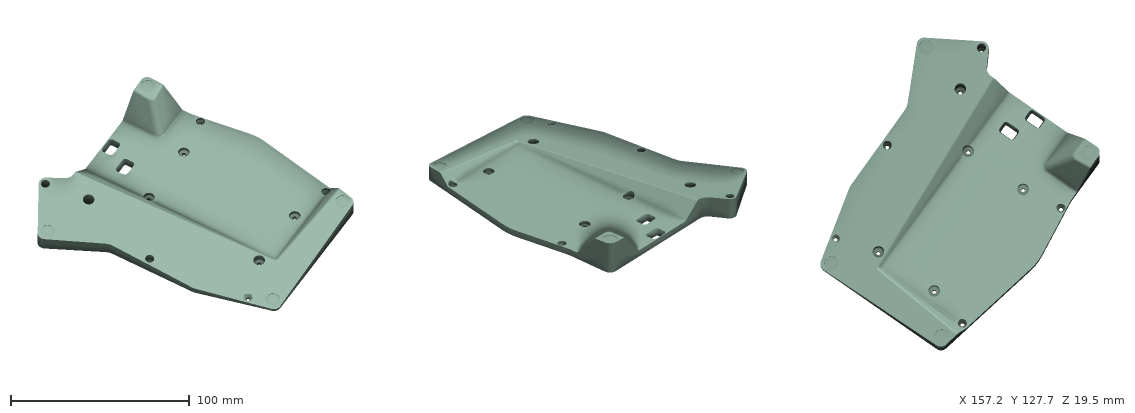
import cadquery as cq
import math

TOP_AT_ORIGIN = 9.9
SLOPE_X = -0.07
SLOPE_Y = 0.088
BLANK_HEIGHT = 31.5
OVERSHOOT = 15.7

LEFT_EDGE = 14.0
BACK_EDGE = 122.5
RIGHT_EDGE = 157.2
FRONT_EDGE = 17.0
CORNER_RADIUS = 4.1
BEND_RADIUS = 9.9
INNER_RADIUS = 6.0
CREST_RADIUS = 31.5
OUTLINE = [
    (LEFT_EDGE, BACK_EDGE, CORNER_RADIUS),
    (44.5, BACK_EDGE, CREST_RADIUS),
    (84.5, 128.1, CREST_RADIUS),
    (RIGHT_EDGE, 113.8, CORNER_RADIUS),
    (RIGHT_EDGE, 29.2, CORNER_RADIUS),
    (109.9, FRONT_EDGE, BEND_RADIUS),
    (54.7, FRONT_EDGE, BEND_RADIUS),
    (18.7, -1.3, CORNER_RADIUS),
    (-1.5, 33.6, CORNER_RADIUS),
    (LEFT_EDGE, 42.3, INNER_RADIUS),
]

FLOOR_Z = 4.1
WALL_DRAFT = 45
TILT_X = math.degrees(math.atan(SLOPE_X))
TILT_Y = math.degrees(math.atan(SLOPE_Y))
FRONT_WALL_Y = 58.2
RIGHT_WALL_X = 138.5
POST_WALL_X = 38.8
POST_WALL_Y = 98.2
POST_EDGE_RADIUS = 4.7
POCKET_CORNER_RADIUS = 2.0
EDGE_RADIUS = 1.9

SCREW_DIAMETER = 2.2
COUNTERBORE_DIAMETER = 6.5
COUNTERBORE_SEAT_Z = 2.0
COUNTERBORED = [(55.0, 97.0), (131.5, 90.4), (55.0, 59.3), (131.5, 52.0), (29.7, 35.8)]
COUNTERSINK_DIAMETER = 5.0
COUNTERSINK_TOP_Z = 2.5
COUNTERSUNK = [(51.5, 120.5), (137.7, 114.1), (3.8, 31.9), (78.9, 20.6), (139.0, 27.8)]

SEAT_DIAMETER = 8.2
SEAT_DEPTH = 0.3
SEATS = [(19.3, 116.8), (151.4, 109.5), (151.5, 34.0), (20.9, 6.0)]

WINDOW_TOP = (7.4, 10.2)
WINDOW_BOTTOM = (5.2, 8.2)
WINDOW_RADIUS_TOP = 1.9
WINDOW_RADIUS_BOTTOM = 1.0
WINDOWS = [(18.2, 78.9), (32.2, 71.0)]


def top_z(x, y):
    return TOP_AT_ORIGIN + SLOPE_X * x + SLOPE_Y * y


def top_plane(x, y):
    return cq.Plane(origin=(x, y, top_z(x, y)), xDir=(1, 0, SLOPE_X), normal=(-SLOPE_X, -SLOPE_Y, 1))


def toward(start, end, distance):
    """Point at a distance from start along the line to end."""
    ratio = distance / math.dist(start, end)
    return tuple(a + (b - a) * ratio for a, b in zip(start, end))


def rounded_outline(corners):
    """Closed polygon whose corners are replaced by tangent arcs."""
    arcs = []
    for i, (x, y, radius) in enumerate(corners):
        corner = (x, y)
        before = corners[i - 1][:2]
        after = corners[(i + 1) % len(corners)][:2]
        heading_in = math.atan2(y - before[1], x - before[0])
        heading_out = math.atan2(after[1] - y, after[0] - x)
        half_turn = abs(math.remainder(heading_out - heading_in, 2 * math.pi)) / 2
        tangent = radius * math.tan(half_turn)
        start = toward(corner, before, tangent)
        end = toward(corner, after, tangent)
        chord_middle = ((start[0] + end[0]) / 2, (start[1] + end[1]) / 2)
        middle = toward(corner, chord_middle, radius / math.cos(half_turn) - radius)
        arcs.append((start, middle, end))
    sketch = cq.Workplane("XY").moveTo(*arcs[0][0])
    for i, (start, middle, end) in enumerate(arcs):
        if i > 0:
            sketch = sketch.lineTo(*start)
        sketch = sketch.threePointArc(middle, end)
    return sketch.close()


def make_plate():
    plate = rounded_outline(OUTLINE).extrude(BLANK_HEIGHT)
    reach = 4 * RIGHT_EDGE
    above = cq.Workplane(top_plane(0, 0)).rect(reach, reach).extrude(reach)
    return plate.cut(above)


def wall_run(angle):
    """Horizontal run of a wall rising from the pocket floor over the blank height."""
    return BLANK_HEIGHT / math.tan(math.radians(angle))


def wedge(plane, near, far, run, length):
    """Prism above the floor, from 'near' to 'far', whose far side leans outward by 'run'."""
    top = FLOOR_Z + BLANK_HEIGHT
    points = [(near, FLOOR_Z), (far, FLOOR_Z), (far + run, top), (near, top)]
    return cq.Workplane(plane).polyline(points).close().extrude(length)


def make_pocket():
    beyond_left = LEFT_EDGE - OVERSHOOT
    beyond_back = BACK_EDGE + OVERSHOOT
    length = 2 * RIGHT_EDGE
    front_run = -wall_run(WALL_DRAFT - TILT_Y)
    right_run = wall_run(WALL_DRAFT + TILT_X)
    pocket = wedge("YZ", beyond_back, FRONT_WALL_Y, front_run, length).translate((beyond_left, 0, 0))
    pocket = pocket.intersect(wedge("XZ", beyond_left, RIGHT_WALL_X, right_run, -length))
    pocket_corner = cq.selectors.NearestToPointSelector(
        (RIGHT_WALL_X + right_run / 2, FRONT_WALL_Y + front_run / 2, FLOOR_Z + BLANK_HEIGHT / 2))
    pocket = pocket.edges(pocket_corner).fillet(POCKET_CORNER_RADIUS)

    post_run_x = -wall_run(WALL_DRAFT - TILT_X)
    post_run_y = wall_run(WALL_DRAFT + TILT_Y)
    post = wedge("YZ", beyond_back + OVERSHOOT, POST_WALL_Y, post_run_y, length)
    post = post.translate((beyond_left - OVERSHOOT, 0, 0))
    post = post.intersect(wedge("XZ", beyond_left - OVERSHOOT, POST_WALL_X, post_run_x, -length))
    post_corner = cq.selectors.NearestToPointSelector(
        (POST_WALL_X + post_run_x / 2, POST_WALL_Y + post_run_y / 2, FLOOR_Z + BLANK_HEIGHT / 2))
    post = post.edges(post_corner).fillet(POST_EDGE_RADIUS)
    return pocket.cut(post)


def pocket_edges(body):
    """Edges where the drafted walls meet the floor and the top plane."""
    top_normal = top_plane(0, 0).zDir
    flats = []
    walls = []
    for face in body.faces().vals():
        normal = face.normalAt()
        is_floor = normal.z > 0.999
        is_top = normal.dot(top_normal) > 0.999
        if is_floor or is_top:
            flats.append(face)
        elif 0.1 < normal.z < 0.99:
            walls.append(face)
    wall_edges = {edge.hashCode() for face in walls for edge in face.Edges()}
    return [edge for face in flats for edge in face.Edges() if edge.hashCode() in wall_edges]


def drill(body, points, diameter, bottom_z):
    cutter = cq.Workplane("XY", origin=(0, 0, bottom_z)).pushPoints(points)
    return body.cut(cutter.circle(diameter / 2).extrude(BLANK_HEIGHT))


def countersink(body):
    height = (COUNTERSINK_DIAMETER - SCREW_DIAMETER) / 2
    for x, y in COUNTERSUNK:
        base = cq.Vector(x, y, COUNTERSINK_TOP_Z - height)
        cone = cq.Solid.makeCone(SCREW_DIAMETER / 2, COUNTERSINK_DIAMETER / 2, height, base)
        body = body.cut(cq.Workplane(cone))
    return drill(body, COUNTERSUNK, COUNTERSINK_DIAMETER, COUNTERSINK_TOP_Z)


def cut_seats(body):
    for x, y in SEATS:
        seat = cq.Workplane(top_plane(x, y)).circle(SEAT_DIAMETER / 2).extrude(-SEAT_DEPTH)
        body = body.cut(seat)
    return body


def cut_windows(body):
    lower = cq.Sketch().rect(*WINDOW_BOTTOM).vertices().fillet(WINDOW_RADIUS_BOTTOM)
    upper = cq.Sketch().rect(*WINDOW_TOP).vertices().fillet(WINDOW_RADIUS_TOP)
    window = cq.Workplane("XY").placeSketch(lower, upper.moved(cq.Location(cq.Vector(0, 0, FLOOR_Z)))).loft()
    for x, y in WINDOWS:
        body = body.cut(window.translate((x, y, 0)))
    return body


body = make_plate().cut(make_pocket())
body = body.newObject(pocket_edges(body)).fillet(EDGE_RADIUS)
body = drill(body, COUNTERBORED, COUNTERBORE_DIAMETER, COUNTERBORE_SEAT_Z)
body = countersink(body)
body = drill(body, COUNTERBORED + COUNTERSUNK, SCREW_DIAMETER, 0)
body = cut_seats(body)
result = cut_windows(body)